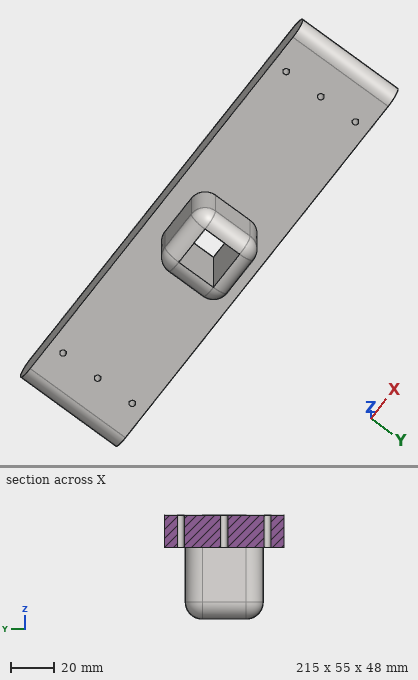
import cadquery as cq

length = 215.0
width = 55.0
thickness = 15.0

total_height = 48.0
bore_side = 20.0
wall = 8.0
socket_side = bore_side + 2 * wall
socket_height = total_height - thickness
socket_radius = wall

screw_diameter = 3.0
row_offset = 85.0
screw_pitch = 20.0


def make_plate():
    """Flat plate whose top lies at Z = 0, with half-round ends."""
    profile = cq.Workplane("XZ").center(0, -thickness / 2).slot2D(length, thickness)
    return profile.extrude(width / 2, both=True)


def make_socket():
    """Square post with rounded corners and a rounded lower rim."""
    post = cq.Workplane("XY").rect(socket_side, socket_side).extrude(socket_height)
    post = post.edges("|Z").fillet(socket_radius).faces("<Z").edges().fillet(socket_radius)
    return post.translate((0, 0, -total_height))


def make_bore():
    """Square bore through the plate and the socket."""
    return cq.Workplane("XY").rect(bore_side, bore_side).extrude(-total_height)


def make_screw_holes():
    """Cylinders that cut the screw holes through the plate."""
    points = [(x, row * screw_pitch) for x in (-row_offset, row_offset) for row in (-1, 0, 1)]
    return cq.Workplane("XY").pushPoints(points).circle(screw_diameter / 2).extrude(-thickness)


result = make_plate().union(make_socket()).cut(make_bore()).cut(make_screw_holes())